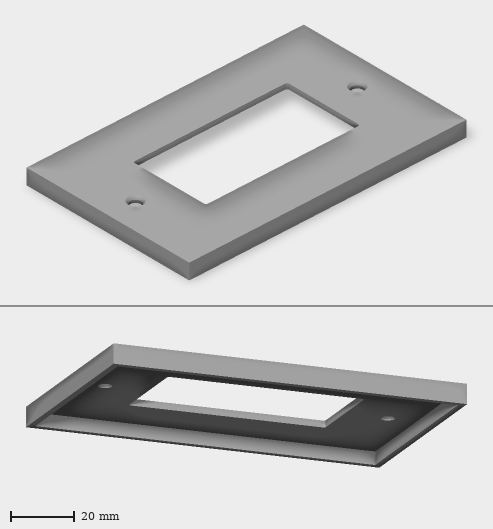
import cadquery as cq

width = 75.0
length = 120.0
height = 6.7

wall = 2.3

window_width = 33.6
window_length = 66.7
window_corner_radius = 1.0

screw_spacing = 96.0
screw_diameter = 4.5
countersink_diameter = 6.5
countersink_angle = 82.0


def hollow_plate():
    """Rectangular plate, open underneath."""
    plate = cq.Workplane("XY").box(width, length, height, centered=(True, True, False))
    return plate.faces("<Z").shell(-wall)


def window_cutter():
    """Rounded rectangular prism that passes through the whole height."""
    return (
        cq.Workplane("XY")
        .rect(window_width, window_length)
        .extrude(height)
        .edges("|Z")
        .fillet(window_corner_radius)
    )


def add_screw_holes(body):
    """Drill both countersunk holes from the top face."""
    return (
        body.faces(">Z")
        .workplane(origin=(0, 0, height))
        .pushPoints([(0, -screw_spacing / 2), (0, screw_spacing / 2)])
        .cskHole(screw_diameter, countersink_diameter, countersink_angle)
    )


result = add_screw_holes(hollow_plate().cut(window_cutter()))